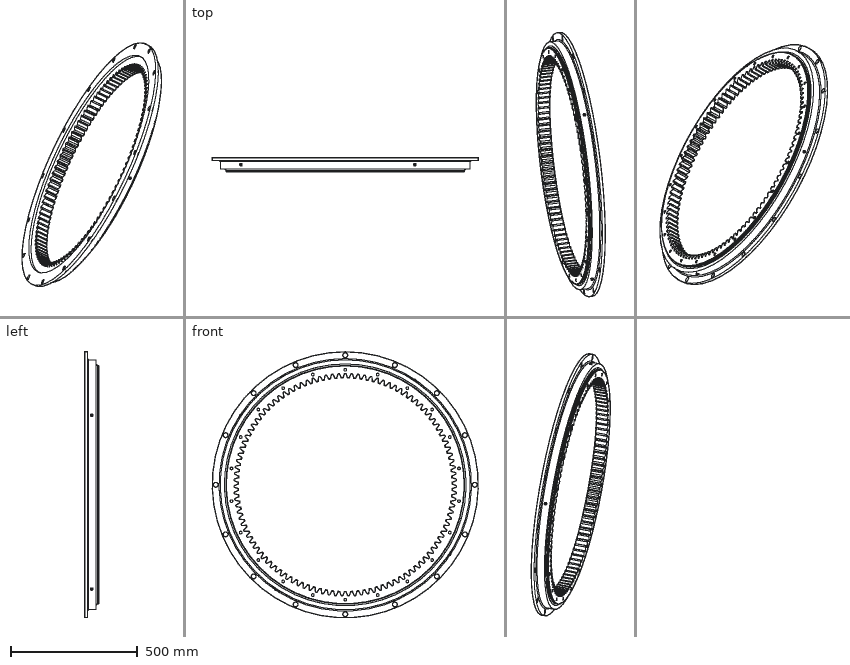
import cadquery as cq
import math

TOTAL_DEPTH = 56.0
BACK_Y = TOTAL_DEPTH / 2
RING_OFFSET = 10.5

FLANGE_RADIUS = 524.0
FLANGE_DEPTH = 12.0
NECK_RADIUS = 497.0
BODY_RADIUS = 492.0
BODY_START = 15.5
OUTER_RING_DEPTH = TOTAL_DEPTH - RING_OFFSET
BOLT_CIRCLE_RADIUS = 510.0
BOLT_HOLE_DIAMETER = 18.0
BOLT_HOLE_COUNT = 16

RACE_RADIUS = 470.0
RACE_EDGE_CHAMFER = 2.0
THREAD_CIRCLE_RADIUS = 452.5
THREAD_HOLE_DIAMETER = 10.5
THREAD_HOLE_DEPTH = 20.0
THREAD_HOLE_COUNT = 22
DRILL_POINT_ANGLE = math.radians(118)

MODULE = 8.0
TOOTH_COUNT = 107
PRESSURE_ANGLE = math.radians(20)
PITCH_RADIUS = MODULE * TOOTH_COUNT / 2
BASE_RADIUS = PITCH_RADIUS * math.cos(PRESSURE_ANGLE)
TIP_RADIUS = 420.0
TIP_CHAMFER = 2.5
ROOT_RADIUS = 438.0
CUTTER_CLEARANCE = 4.0
CUTTER_RADIUS = TIP_RADIUS - CUTTER_CLEARANCE

SEAL_BASE_RADIUS = 476.0
SEAL_HEIGHT = 4.5

NIPPLE_COUNT = 4
NIPPLE_DIAMETER = 10.0
NIPPLE_COLLAR_HEIGHT = 3.0
NIPPLE_HEAD_DIAMETER = 6.0
NIPPLE_HEAD_HEIGHT = 3.0
NIPPLE_SEAT_DEPTH = 10.0
NIPPLE_STATION = 28.0
FIRST_NIPPLE_ANGLE = 2.5 * 360 / BOLT_HOLE_COUNT


def revolve_about_y(profile):
    """Solid of revolution about Y from (radius, station) points."""
    points = [(BACK_Y - station, radius) for radius, station in profile]
    return cq.Workplane("YZ").polyline(points).close().revolve(360, (0, 0, 0), (1, 0, 0))


def station_plane(station):
    """Plane across the axis at a station, facing the front."""
    return cq.Workplane(cq.Plane(origin=(0, BACK_Y - station, 0), xDir=(1, 0, 0), normal=(0, -1, 0)))


def bolt_holes():
    """Through holes in the flange; the first is on +Z."""
    return (
        station_plane(0)
        .polarArray(BOLT_CIRCLE_RADIUS, 90, 360, BOLT_HOLE_COUNT)
        .circle(BOLT_HOLE_DIAMETER / 2)
        .extrude(OUTER_RING_DEPTH)
    )


def thread_holes():
    """Blind holes with drill-point bottoms in the front face; the first is on +Z."""
    hole_radius = THREAD_HOLE_DIAMETER / 2
    front_y = BACK_Y - TOTAL_DEPTH
    point_length = hole_radius / math.tan(DRILL_POINT_ANGLE / 2)
    hole = (
        cq.Workplane("YZ")
        .polyline([
            (front_y, 0),
            (front_y, hole_radius),
            (front_y + THREAD_HOLE_DEPTH, hole_radius),
            (front_y + THREAD_HOLE_DEPTH + point_length, 0),
        ])
        .close()
        .revolve(360, (0, 0, 0), (1, 0, 0))
        .translate((0, 0, THREAD_CIRCLE_RADIUS))
    )
    holes = cq.Workplane()
    for hole_index in range(THREAD_HOLE_COUNT):
        holes = holes.add(hole.rotate((0, 0, 0), (0, 1, 0), hole_index * 360 / THREAD_HOLE_COUNT))
    return holes.combine()


def make_nipple(angle):
    """Stepped round grease nipple lying along a radius of the outer ring."""
    direction = (math.cos(math.radians(angle)), 0, math.sin(math.radians(angle)))
    seat_radius = BODY_RADIUS - NIPPLE_SEAT_DEPTH
    origin = (seat_radius * direction[0], BACK_Y - NIPPLE_STATION, seat_radius * direction[2])
    plane = cq.Plane(origin=origin, xDir=(0, 1, 0), normal=direction)
    return (
        cq.Workplane(plane)
        .circle(NIPPLE_DIAMETER / 2)
        .extrude(NIPPLE_SEAT_DEPTH + NIPPLE_COLLAR_HEIGHT)
        .faces(cq.selectors.DirectionMinMaxSelector(cq.Vector(*direction)))
        .workplane()
        .circle(NIPPLE_HEAD_DIAMETER / 2)
        .extrude(NIPPLE_HEAD_HEIGHT)
    )


def make_outer_ring(nipples):
    """Flanged ring with through bolt holes and a seat for each nipple."""
    ring = revolve_about_y([
        (RACE_RADIUS, 0),
        (FLANGE_RADIUS, 0),
        (FLANGE_RADIUS, FLANGE_DEPTH),
        (NECK_RADIUS, FLANGE_DEPTH),
        (BODY_RADIUS, BODY_START),
        (BODY_RADIUS, OUTER_RING_DEPTH),
        (RACE_RADIUS, OUTER_RING_DEPTH),
    ])
    ring = ring.cut(bolt_holes())
    for nipple in nipples:
        ring = ring.cut(nipple)
    return ring


def involute(angle):
    """Involute function of a flank angle in radians."""
    return math.tan(angle) - angle


def space_half_angle(radius):
    """Half the angle that a tooth space spans at a radius, for involute flanks."""
    flank_angle = math.acos(BASE_RADIUS / radius)
    return math.pi / (2 * TOOTH_COUNT) + involute(PRESSURE_ANGLE) - involute(flank_angle)


def gear_cutter():
    """Gear-shaped cutter for the tooth spaces; one tooth space is centred on +Z."""
    def point(radius, angle):
        return (radius * math.sin(angle), radius * math.cos(angle))

    mid_radius = (CUTTER_RADIUS + ROOT_RADIUS) / 2
    base_half = space_half_angle(CUTTER_RADIUS)
    mid_half = space_half_angle(mid_radius)
    root_half = space_half_angle(ROOT_RADIUS)
    pitch_angle = 2 * math.pi / TOOTH_COUNT

    outline = station_plane(0).moveTo(*point(CUTTER_RADIUS, -base_half))
    for space in range(TOOTH_COUNT):
        centre = space * pitch_angle
        outline = (
            outline
            .threePointArc(point(mid_radius, centre - mid_half), point(ROOT_RADIUS, centre - root_half))
            .threePointArc(point(ROOT_RADIUS, centre), point(ROOT_RADIUS, centre + root_half))
            .threePointArc(point(mid_radius, centre + mid_half), point(CUTTER_RADIUS, centre + base_half))
            .threePointArc(
                point(CUTTER_RADIUS, centre + pitch_angle / 2),
                point(CUTTER_RADIUS, centre + pitch_angle - base_half),
            )
        )
    return outline.close().extrude(TOTAL_DEPTH)


def make_inner_ring():
    """Ring with internal teeth and blind threaded holes in its front face."""
    ring = revolve_about_y([
        (TIP_RADIUS, RING_OFFSET),
        (RACE_RADIUS, RING_OFFSET),
        (RACE_RADIUS, TOTAL_DEPTH - RACE_EDGE_CHAMFER),
        (RACE_RADIUS - RACE_EDGE_CHAMFER, TOTAL_DEPTH),
        (TIP_RADIUS + TIP_CHAMFER, TOTAL_DEPTH),
        (TIP_RADIUS, TOTAL_DEPTH - TIP_CHAMFER),
    ])
    ring = ring.cut(gear_cutter())
    return ring.cut(thread_holes())


def make_seal():
    """Wedge-shaped lip seal on the front face of the outer ring, around the inner ring."""
    return revolve_about_y([
        (RACE_RADIUS, OUTER_RING_DEPTH),
        (SEAL_BASE_RADIUS, OUTER_RING_DEPTH),
        (RACE_RADIUS, OUTER_RING_DEPTH + SEAL_HEIGHT),
    ])


nipples = [make_nipple(FIRST_NIPPLE_ANGLE + i * 360 / NIPPLE_COUNT) for i in range(NIPPLE_COUNT)]
outer_ring = make_outer_ring(nipples)
inner_ring = make_inner_ring()
seal = make_seal()

result = cq.Compound.makeCompound([
    outer_ring.val(),
    inner_ring.val(),
    seal.val(),
    *[nipple.val() for nipple in nipples],
])